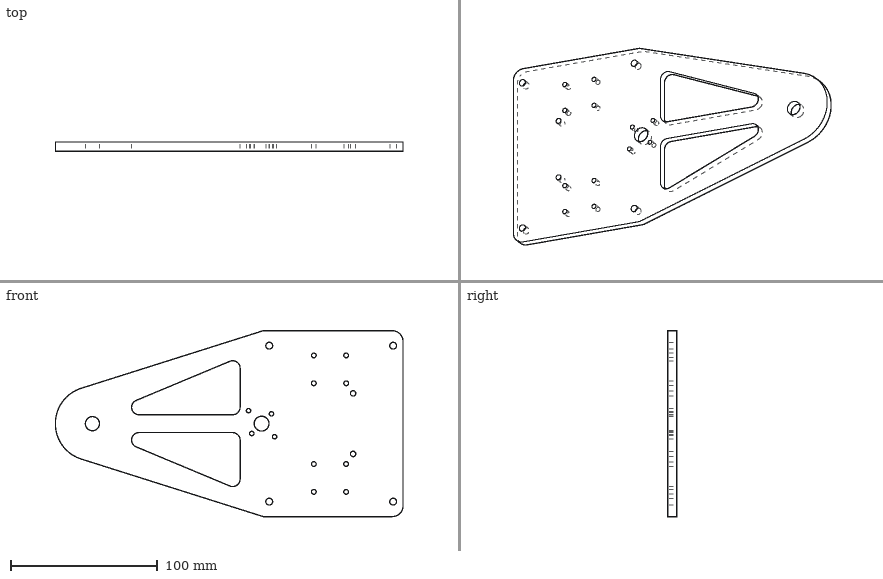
import cadquery as cq
import math

length = 237.2
height = 127.0
thickness = 6.5
nose_radius = 25.4
shoulder_x = 141.8
corner_radius = 7.5
half_height = height / 2

window_tip_x = 32.3
window_back_x = 126.0
window_inner_z = 6.2
window_outer_z = 45.3
window_radius = 5.0

pivot_diameter = 9.5
shaft_x = 140.7
shaft_diameter = 10.0

shaft_screw_diameter = 2.8
shaft_screw_pairs = [(9.5, 45), (12.5, 135)]

mount_diameter = 4.5
mount_points = [(145.9, 53.1), (230.3, 53.1)]
bracket_diameter = 3.0
bracket_points = [(x, z) for x in (176.2, 198.3) for z in (27.5, 46.5)]
spacer_diameter = 3.5
spacer_points = [(203.0, 20.6)]


def mirrored(points):
    """Return the points together with their mirror images about Z = 0."""
    return points + [(x, -z) for x, z in points]


def make_plate():
    """Rectangular body with straight sides running tangent to a round nose."""
    run = shoulder_x - nose_radius
    reach = math.hypot(run, half_height)
    tangent_angle = math.atan2(half_height, run) + math.acos(nose_radius / reach)
    tangent_x = nose_radius + nose_radius * math.cos(tangent_angle)
    tangent_z = nose_radius * math.sin(tangent_angle)
    plate = (
        cq.Workplane("XZ")
        .moveTo(tangent_x, tangent_z)
        .lineTo(shoulder_x, half_height)
        .lineTo(length, half_height)
        .lineTo(length, -half_height)
        .lineTo(shoulder_x, -half_height)
        .lineTo(tangent_x, -tangent_z)
        .threePointArc((0, 0), (tangent_x, tangent_z))
        .close()
        .extrude(thickness)
    )
    return plate.edges("|Y and >X").fillet(corner_radius)


def make_window(side):
    """Cutter for the rounded triangle above (side 1) or below (side -1) the rib."""
    corners = [
        (window_tip_x, side * window_inner_z),
        (window_back_x, side * window_inner_z),
        (window_back_x, side * window_outer_z),
    ]
    window = cq.Workplane("XZ").polyline(corners).close().extrude(thickness)
    return window.edges("|Y").fillet(window_radius)


def make_holes(points, diameter):
    """Cutters for through holes at the given (x, z) points."""
    return cq.Workplane("XZ").pushPoints(points).circle(diameter / 2).extrude(thickness)


shaft_screw_points = []
for distance, angle in shaft_screw_pairs:
    dx = distance * math.cos(math.radians(angle))
    dz = distance * math.sin(math.radians(angle))
    shaft_screw_points += [(shaft_x + dx, dz), (shaft_x - dx, -dz)]

result = make_plate()
for side in (1, -1):
    result = result.cut(make_window(side))

hole_groups = [
    ([(nose_radius, 0)], pivot_diameter),
    ([(shaft_x, 0)], shaft_diameter),
    (shaft_screw_points, shaft_screw_diameter),
    (mirrored(mount_points), mount_diameter),
    (mirrored(bracket_points), bracket_diameter),
    (mirrored(spacer_points), spacer_diameter),
]
for points, diameter in hole_groups:
    result = result.cut(make_holes(points, diameter))